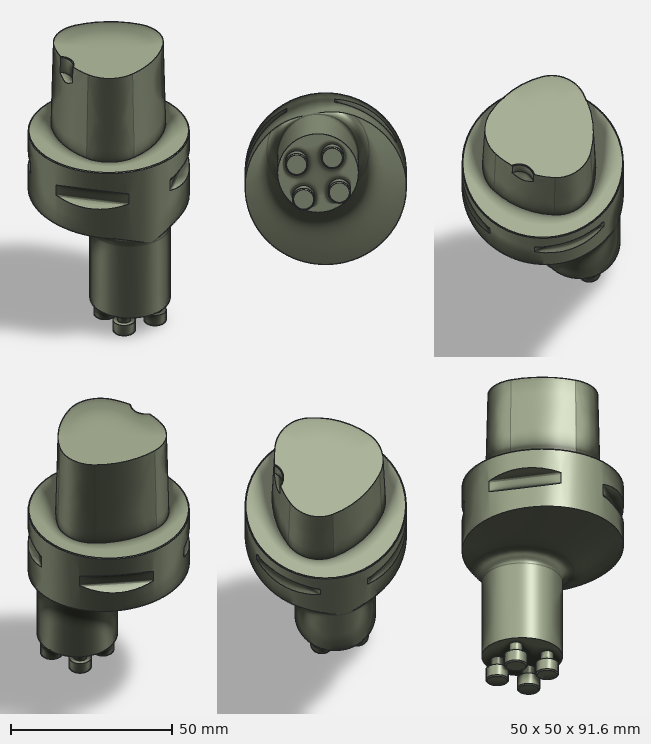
import cadquery as cq
import math


overall_height = 91.6

flange_diameter = 50.0
flange_radius = flange_diameter / 2
flange_rim_chamfer = 0.3
flange_edge_depth = 20.1

taper_height = 30.05
taper_ratio = 1 / 40
polygon_mean_diameter = 35.1
polygon_eccentricity = 1.2
lobe_radius = 11.7
lobe_count = 3
first_lobe_angle = 90

keyway_radius = 4.8
keyway_depth = 5.7
keyway_rim_chamfer = 0.3
keyway_inner_y = -13.8
keyway_tip_half_angle = 50

groove_count = 4
first_groove_angle = 45
groove_center_depth = 10.0
groove_floor_distance = 22.2
groove_floor_width = 3.7
groove_flank_angle = 30
groove_corner_fillet = 0.5
groove_overcut = 0.9

shank_diameter = 25.0
shank_radius = shank_diameter / 2
shank_offset = flange_radius - shank_radius
shank_end_depth = 54.05
underside_angle = 10
shank_fillet = 4.0

screw_end_depth = overall_height - taper_height
screw_neck_diameter = 4.0
screw_head_diameter = 7.0
screw_head_height = 4.0
screw_head_chamfer = 0.4
screw_spacing = 11.3
screws_per_row = 2


def point_at(center, radius, degrees):
    angle = math.radians(degrees)
    return (center[0] + radius * math.cos(angle), center[1] + radius * math.sin(angle))


def make_polygon_taper():
    """Closed chain of tangent lobe and side arcs, tapered upwards."""
    tip_distance = polygon_mean_diameter / 2 + polygon_eccentricity
    side_distance = polygon_mean_diameter / 2 - polygon_eccentricity
    lobe_center = tip_distance - lobe_radius
    inset = side_distance - lobe_radius
    side_center = (lobe_center**2 - inset**2) / (2 * inset - lobe_center)
    side_radius = side_center + side_distance
    half_pitch = 180 / lobe_count
    half_side = math.degrees(
        math.atan2(
            lobe_center * math.sin(math.radians(half_pitch)),
            side_center + lobe_center * math.cos(math.radians(half_pitch)),
        )
    )

    half_lobe = half_pitch - half_side
    start_center = point_at((0, 0), lobe_center, first_lobe_angle)
    outline = cq.Workplane("XY").moveTo(
        *point_at(start_center, lobe_radius, first_lobe_angle - half_lobe)
    )
    for index in range(lobe_count):
        tip = first_lobe_angle + index * 2 * half_pitch
        side = tip + half_pitch
        lobe = point_at((0, 0), lobe_center, tip)
        opposite = point_at((0, 0), side_center, side + 180)
        outline = outline.threePointArc(
            point_at(lobe, lobe_radius, tip),
            point_at(lobe, lobe_radius, tip + half_lobe),
        )
        outline = outline.threePointArc(
            point_at(opposite, side_radius, side),
            point_at(opposite, side_radius, side + half_side),
        )
    return outline.close().extrude(taper_height, taper=math.degrees(math.atan(taper_ratio)))


def make_keyway():
    """Round pocket with a conical floor and a chamfered rim, open at the top and on the -Y side."""
    tip_depth = keyway_radius / math.tan(math.radians(keyway_tip_half_angle))
    floor = taper_height - keyway_depth
    profile = (
        cq.Workplane("XZ")
        .moveTo(0, taper_height)
        .lineTo(keyway_radius + keyway_rim_chamfer, taper_height)
        .lineTo(keyway_radius, taper_height - keyway_rim_chamfer)
        .lineTo(keyway_radius, floor)
        .lineTo(0, floor - tip_depth)
        .close()
    )
    return profile.revolve().translate((0, keyway_inner_y - keyway_radius, 0))


def make_body():
    """Flange and shank: a profile turned about the shank axis, kept inside the flange cylinder."""
    reach = flange_diameter
    tilt = math.radians(underside_angle)
    slope = math.tan(tilt)
    rim_radius = shank_offset + flange_radius
    rim_z = -flange_edge_depth
    corner_z = rim_z - (rim_radius - shank_radius) * slope
    setback = shank_fillet * math.tan((math.pi / 2 - tilt) / 2)
    turned = (
        cq.Workplane("XZ")
        .lineTo(reach, 0)
        .lineTo(reach, rim_z + (reach - rim_radius) * slope)
        .lineTo(shank_radius + setback * math.cos(tilt), corner_z + setback * math.sin(tilt))
        .tangentArcPoint((shank_radius, corner_z - setback), relative=False)
        .lineTo(shank_radius, -shank_end_depth)
        .lineTo(0, -shank_end_depth)
        .close()
        .revolve()
    )
    envelope = (
        cq.Workplane("XY")
        .circle(flange_radius)
        .extrude(-shank_end_depth)
        .edges(">Z")
        .chamfer(flange_rim_chamfer)
    )
    return turned.translate((shank_offset, 0, 0)).intersect(envelope)


def make_groove():
    """Straight groove with sloped flanks and rounded floor corners, running along Y across the +X side."""
    outer = flange_radius + groove_overcut
    half_floor = groove_floor_width / 2
    half_mouth = half_floor + (outer - groove_floor_distance) * math.tan(math.radians(groove_flank_angle))
    return (
        cq.Workplane("XZ")
        .moveTo(groove_floor_distance, -half_floor)
        .lineTo(outer, -half_mouth)
        .lineTo(outer, half_mouth)
        .lineTo(groove_floor_distance, half_floor)
        .close()
        .extrude(flange_radius, both=True)
        .edges("<X")
        .edges("|Y")
        .fillet(groove_corner_fillet)
        .translate((0, 0, -groove_center_depth))
    )


def make_screws():
    """Four cap screws hanging from the end of the shank."""
    places = cq.Workplane("XY").rarray(screw_spacing, screw_spacing, screws_per_row, screws_per_row)
    head_bottom = -screw_end_depth
    head = (
        cq.Workplane("XY", origin=(0, 0, head_bottom))
        .circle(screw_head_diameter / 2)
        .extrude(screw_head_height)
        .faces("<Z")
        .edges()
        .chamfer(screw_head_chamfer)
    )
    neck = (
        cq.Workplane("XY", origin=(0, 0, head_bottom))
        .circle(screw_neck_diameter / 2)
        .extrude(screw_end_depth - shank_end_depth)
    )
    screw = head.union(neck).val()
    screws = places.eachpoint(lambda place: screw.moved(place))
    return screws.translate((shank_offset, 0, 0))


result = make_body().union(make_polygon_taper().cut(make_keyway()))
for index in range(groove_count):
    groove_angle = first_groove_angle + index * 360 / groove_count
    result = result.cut(make_groove().rotate((0, 0, 0), (0, 0, 1), groove_angle))
result = result.union(make_screws())